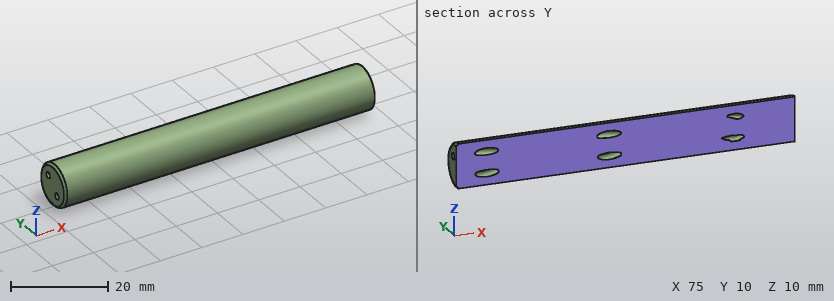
import cadquery as cq
import math

rod_length = 75.0
rod_diameter = 10.0
chamfer_size = 0.5

hole_diameter = 1.4
hole_circle_diameter = 4.8
hole_count = 2
first_hole_angle = 45.0

helix_angle = 30.0
hole_overrun = 0.75
hole_length = rod_length + hole_overrun
helix_pitch = math.pi * rod_diameter / math.tan(math.radians(helix_angle))
twist_angle = 360.0 * hole_length / helix_pitch


def make_rod():
    rod = cq.Workplane("YZ").circle(rod_diameter / 2).extrude(rod_length)
    return rod.faces("<X").chamfer(chamfer_size)


def make_twisted_hole(start_angle):
    angle = math.radians(start_angle)
    radius = hole_circle_diameter / 2
    start_y = radius * math.cos(angle)
    start_z = radius * math.sin(angle)
    return (
        cq.Workplane("YZ")
        .pushPoints([(start_y, start_z)])
        .circle(hole_diameter / 2)
        .twistExtrude(hole_length, twist_angle)
    )


result = make_rod()
for index in range(hole_count):
    hole_angle = first_hole_angle + index * 360.0 / hole_count
    result = result.cut(make_twisted_hole(hole_angle))